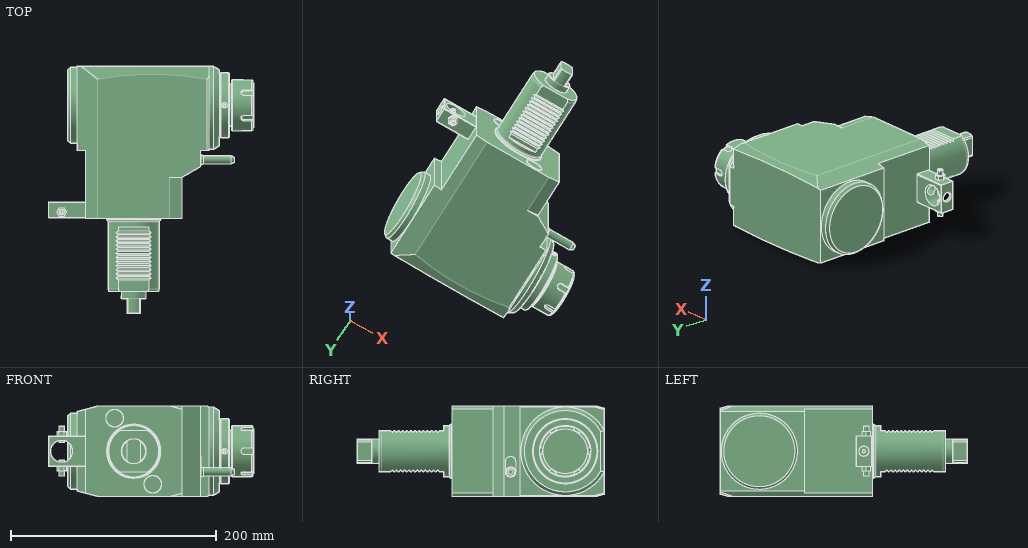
import math

import cadquery as cq


half_height = 44.0
back_y = 148.0
head_left_x = -55.0
head_right_x = 73.0
head_front_y = 66.0
foot_half_width = 47.0
foot_shoulder_y = 40.0
step_right_x = 65.0
step_slope = math.radians(30)
side_bevel_start = 35.0
side_bevel_angle = math.radians(15)
right_bevel_length = 1.6
right_bevel_depth = 0.9
back_bevel_y = 140.2
back_bevel_center_x = 18.0
back_bevel_angle = math.radians(15)
back_bevel_radius = 1100.0

spindle_y = 110.0
cap_radius = 37.0
cap_end_x = -64.3
cap_chamfer_length = 3.1
cap_chamfer_depth = 2.5
flange_radius = 43.0
flange_straight_end_x = 77.5
flange_end_x = 83.3
flange_chamfer_depth = 3.5
ring_radius = 31.7
ring_gap_radius = 30.5
ring_start_x = 84.1
ring_chamfer = 0.8
ring_end_x = 92.9
ring_screw_x = 88.3
ring_screw_radius = 2.6
ring_screw_depth = 1.0
ring_screw_socket_radius = 1.1
neck_radius = 20.5
nut_start_x = 95.2
nut_radius = 25.0
nut_chamfer = 0.6
nut_bevel_x = 114.4
nut_lip_x = 116.0
nut_lip_radius = 24.2
nut_end_x = 117.1
nut_end_radius = 21.6
nut_slot_count = 6
nut_slot_width = 6.2
nut_slot_start_x = 104.3
nut_slot_floor_radius = 22.0

shank_radius = 25.0
collar_radius = 26.3
collar_straight_length = 1.0
collar_length = 2.3
collar_tip_radius = 25.3
collar_taper_end = 3.5
shank_length = 71.0
shank_chamfer_length = 2.8
shank_chamfer_depth = 0.75
flat_half_height = 20.0
flat_start = 8.0
groove_count = 12
groove_pitch = 4.0
first_groove = 13.8
groove_depth = 1.65
drive_radius = 12.1
drive_disc_length = 7.1
drive_length = 21.0
drive_disc_chamfer = 0.5
tang_half_width = 6.6
tang_chamfer_width = 1.0
tang_chamfer_height = 1.6

plug_radius = 8.6
plug_x = 18.5
plug_z = 32.1
plug_gap = 0.2
plug_gap_depth = 0.3

bracket_left_x = -83.0
bracket_front_y = 0.7
bracket_back_y = 16.2
bracket_half_height = 15.0
bracket_chamfer = 0.5
bracket_bore_x = -70.0
bracket_bore_radius = 10.6
feed_y = 8.5
feed_radius = 4.9
feed_end_x = -49.0
pilot_radius = 1.5
clamp_y = 6.3
clamp_radius = 2.7
clamp_tip_z = 8.6
clamp_end_z = 24.3
clamp_socket_flats = 2.5
clamp_socket_depth = 2.0
clamp_nut_flats = 8.2
clamp_nut_top_z = 19.1

pin_y = 57.0
pin_z = -20.1
pin_radius = 4.1
pin_root_radius = 4.9
pin_root_length = 2.2
pin_tip_radius = 2.4
pin_tip_length = 3.4
pin_end_x = 98.0
pad_thickness = 0.6
pad_width = 10.0
pad_length = 20.0


def bevel_drop(x):
    """Drop of the side bevel below the top face at distance x from the shank axis."""
    return (x - side_bevel_start) * math.tan(side_bevel_angle)


def both_halves(shape):
    """The shape together with its mirror image below the Z = 0 plane."""
    return shape.union(shape.mirror("XY"))


def box_between(x_range, y_range, z_range):
    sizes = [high - low for low, high in (x_range, y_range, z_range)]
    corner = (x_range[0], y_range[0], z_range[0])
    return cq.Workplane("XY").box(*sizes, centered=False).translate(corner)


def turned_on_spindle(points):
    """Revolve an (x, radius) profile about the spindle axis."""
    profile = cq.Workplane("XY", origin=(0, spindle_y, 0)).polyline(points).close()
    return profile.revolve(360, (0, 0, 0), (1, 0, 0))


def turned_on_shank(points):
    """Revolve a (radius, distance along -Y) profile about the shank axis."""
    profile = cq.Workplane("XY").polyline([(radius, -along) for radius, along in points]).close()
    return profile.revolve(360, (0, 0, 0), (0, 1, 0))


def make_housing():
    step_front_y = foot_shoulder_y + (step_right_x - foot_half_width) * math.tan(step_slope)
    outline = [
        (-foot_half_width, 0),
        (foot_half_width, 0),
        (foot_half_width, foot_shoulder_y),
        (step_right_x, step_front_y),
        (step_right_x, head_front_y),
        (head_right_x, head_front_y),
        (head_right_x, back_y),
        (head_left_x, back_y),
        (head_left_x, head_front_y),
        (-foot_half_width, head_front_y),
    ]
    block = cq.Workplane("XY").polyline(outline).close().extrude(half_height, both=True)

    left_z = half_height - bevel_drop(-head_left_x)
    right_z = half_height - right_bevel_depth
    section = [
        (head_left_x, left_z),
        (-side_bevel_start, half_height),
        (head_right_x - right_bevel_length, half_height),
        (head_right_x, right_z),
        (head_right_x, -right_z),
        (head_right_x - right_bevel_length, -half_height),
        (-side_bevel_start, -half_height),
        (head_left_x, -left_z),
    ]
    envelope = cq.Workplane("XZ").polyline(section).close().extrude(-back_y)
    block = block.intersect(envelope)
    return block.cut(both_halves(make_foot_bevel())).cut(both_halves(make_back_bevel()))


def make_foot_bevel():
    """Wedge removed from the upper right edge of the foot."""
    corners = [
        (side_bevel_start, half_height),
        (foot_half_width, half_height),
        (foot_half_width, half_height - bevel_drop(foot_half_width)),
    ]
    return cq.Workplane("XZ").polyline(corners).close().extrude(-foot_shoulder_y)


def make_back_bevel():
    """Material above a slightly crowned surface that slopes down towards the back."""
    slope_direction = (0, math.cos(back_bevel_angle), -math.sin(back_bevel_angle))
    crown = (back_bevel_center_x, back_bevel_y, half_height)
    plane = cq.Plane(origin=crown, xDir=(-1, 0, 0), normal=slope_direction)
    half_width = head_right_x - head_left_x
    sag = back_bevel_radius - math.sqrt(back_bevel_radius**2 - half_width**2)
    profile = (
        cq.Workplane(plane)
        .moveTo(-half_width, -sag)
        .threePointArc((0, 0), (half_width, -sag))
        .lineTo(half_width, half_height)
        .lineTo(-half_width, half_height)
        .close()
    )
    return profile.extrude(half_height, both=True)


def make_cap():
    return turned_on_spindle([
        (head_left_x, 0),
        (head_left_x, cap_radius),
        (cap_end_x + cap_chamfer_length, cap_radius),
        (cap_end_x, cap_radius - cap_chamfer_depth),
        (cap_end_x, 0),
    ])


def make_flange():
    """Round flange with a flat at the back; its chamfer follows both the round and the flat."""
    flange = turned_on_spindle([
        (head_right_x, 0),
        (head_right_x, flange_radius),
        (flange_straight_end_x, flange_radius),
        (flange_end_x, flange_radius - flange_chamfer_depth),
        (flange_end_x, 0),
    ])
    front_y = spindle_y - flange_radius
    flat_outline = [
        (head_right_x, front_y),
        (head_right_x, back_y),
        (flange_straight_end_x, back_y),
        (flange_end_x, back_y - flange_chamfer_depth),
        (flange_end_x, front_y),
    ]
    flat = cq.Workplane("XY").polyline(flat_outline).close().extrude(flange_radius, both=True)
    return flange.intersect(flat)


def make_spindle_nose():
    nose = turned_on_spindle([
        (flange_end_x, 0),
        (flange_end_x, ring_gap_radius),
        (ring_start_x, ring_gap_radius),
        (ring_start_x, ring_radius - ring_chamfer),
        (ring_start_x + ring_chamfer, ring_radius),
        (ring_end_x - ring_chamfer, ring_radius),
        (ring_end_x, ring_radius - ring_chamfer),
        (ring_end_x, neck_radius),
        (nut_start_x, neck_radius),
        (nut_start_x, nut_radius - nut_chamfer),
        (nut_start_x + nut_chamfer, nut_radius),
        (nut_bevel_x, nut_radius),
        (nut_lip_x, nut_lip_radius),
        (nut_lip_x, nut_end_radius),
        (nut_end_x, nut_end_radius),
        (nut_end_x, 0),
    ])
    axis_start = (0, spindle_y, 0)
    axis_end = (1, spindle_y, 0)

    slot_length = nut_end_x - nut_slot_start_x + nut_slot_width
    slot = (
        cq.Workplane("XZ", origin=(0, spindle_y - nut_slot_floor_radius, 0))
        .center(nut_slot_start_x + slot_length / 2, 0)
        .slot2D(slot_length, nut_slot_width)
        .extrude(nut_radius)
    )
    for index in range(nut_slot_count):
        nose = nose.cut(slot.rotate(axis_start, axis_end, index * 360 / nut_slot_count))

    screw_hole = (
        cq.Workplane("XY", origin=(ring_screw_x, spindle_y, ring_radius - ring_screw_depth))
        .circle(ring_screw_radius)
        .circle(ring_screw_socket_radius)
        .extrude(ring_screw_depth * 2)
    )
    for angle in (0, 90):
        nose = nose.cut(screw_hole.rotate(axis_start, axis_end, angle))
    return nose


def make_shank():
    shank = turned_on_shank([
        (0, 0),
        (collar_radius, 0),
        (collar_radius, collar_straight_length),
        (collar_tip_radius, collar_length),
        (shank_radius, collar_taper_end),
        (shank_radius, shank_length - shank_chamfer_length),
        (shank_radius - shank_chamfer_depth, shank_length),
        (0, shank_length),
    ])
    cutter = box_between(
        (-shank_radius, shank_radius),
        (-shank_length, -flat_start),
        (flat_half_height, shank_radius),
    )
    groove_floor = flat_half_height - groove_depth
    for index in range(groove_count):
        groove_y = -first_groove - index * groove_pitch
        groove = (
            cq.Workplane("YZ")
            .polyline([
                (groove_y - groove_depth, flat_half_height),
                (groove_y, groove_floor),
                (groove_y + groove_depth, flat_half_height),
            ])
            .close()
            .extrude(shank_radius, both=True)
        )
        cutter = cutter.union(groove)
    return shank.cut(both_halves(cutter))


def make_drive_tang():
    disc_end = shank_length + drive_disc_length
    tang_start = disc_end - drive_disc_chamfer
    tang_end = shank_length + drive_length
    disc = turned_on_shank([
        (0, shank_length),
        (drive_radius, shank_length),
        (drive_radius, disc_end - drive_disc_chamfer),
        (drive_radius - drive_disc_chamfer, disc_end),
        (0, disc_end),
    ])
    chamfer_half_width = tang_half_width - tang_chamfer_width
    rim_z = math.sqrt(drive_radius**2 - chamfer_half_width**2)
    flat_z = rim_z - tang_chamfer_height
    tang = (
        cq.Workplane("XZ", origin=(0, -tang_start, 0))
        .moveTo(tang_half_width, -flat_z)
        .lineTo(tang_half_width, flat_z)
        .lineTo(chamfer_half_width, rim_z)
        .threePointArc((0, drive_radius), (-chamfer_half_width, rim_z))
        .lineTo(-tang_half_width, flat_z)
        .lineTo(-tang_half_width, -flat_z)
        .lineTo(-chamfer_half_width, -rim_z)
        .threePointArc((0, -drive_radius), (chamfer_half_width, -rim_z))
        .close()
        .extrude(tang_end - tang_start)
    )
    return disc.union(tang)


def make_plug_outlines():
    """Fine ring grooves around the two flush plugs in the seating face."""
    return (
        cq.Workplane("XZ")
        .pushPoints([(-plug_x, plug_z), (plug_x, -plug_z)])
        .circle(plug_radius)
        .circle(plug_radius - plug_gap)
        .extrude(-plug_gap_depth)
    )


def make_bracket():
    bracket = box_between(
        (bracket_left_x, -foot_half_width),
        (bracket_front_y, bracket_back_y),
        (-bracket_half_height, bracket_half_height),
    )
    bracket = bracket.edges("(<X and |Z) or |X").chamfer(bracket_chamfer)
    bore = (
        cq.Workplane("XZ", origin=(bracket_bore_x, bracket_front_y, 0))
        .circle(bracket_bore_radius)
        .extrude(bracket_front_y - bracket_back_y)
    )
    feed_start = cq.Workplane("YZ", origin=(bracket_left_x, feed_y, 0))
    feed = feed_start.circle(feed_radius).extrude(feed_end_x - bracket_left_x)
    pilot = feed_start.circle(pilot_radius).extrude(-foot_half_width - bracket_left_x)
    bracket = bracket.cut(bore).cut(feed).cut(pilot)
    return bracket.union(both_halves(make_clamp_screw()))


def make_clamp_screw():
    """Upper clamping screw with its lock nut and a hexagon socket in each end."""
    hexagon_ratio = 1 / math.cos(math.pi / 6)
    screw = (
        cq.Workplane("XY", origin=(bracket_bore_x, clamp_y, clamp_tip_z))
        .circle(clamp_radius)
        .extrude(clamp_end_z - clamp_tip_z)
    )
    nut = (
        cq.Workplane("XY", origin=(bracket_bore_x, clamp_y, bracket_half_height))
        .polygon(6, clamp_nut_flats * hexagon_ratio)
        .extrude(clamp_nut_top_z - bracket_half_height)
    )
    socket = cq.Workplane("XY", origin=(bracket_bore_x, clamp_y, 0))
    socket = socket.polygon(6, clamp_socket_flats * hexagon_ratio).extrude(clamp_socket_depth)
    outer_socket = socket.translate((0, 0, clamp_end_z - clamp_socket_depth))
    inner_socket = socket.translate((0, 0, clamp_tip_z))
    return screw.union(nut).cut(outer_socket).cut(inner_socket)


def make_locating_pin():
    root_x = step_right_x + pad_thickness
    profile = [
        (step_right_x, 0),
        (step_right_x, pin_root_radius),
        (root_x, pin_root_radius),
        (root_x + pin_root_length, pin_radius),
        (pin_end_x - pin_tip_length, pin_radius),
        (pin_end_x, pin_tip_radius),
        (pin_end_x, 0),
    ]
    pin = (
        cq.Workplane("XY", origin=(0, pin_y, pin_z))
        .polyline(profile)
        .close()
        .revolve(360, (0, 0, 0), (1, 0, 0))
    )
    pad_center_z = pin_z + (pad_length - pad_width) / 2
    pad = (
        cq.Workplane("YZ", origin=(step_right_x, pin_y, pad_center_z))
        .slot2D(pad_length, pad_width, 90)
        .extrude(pad_thickness)
    )
    return pin.union(pad)


result = make_housing().cut(make_plug_outlines())
for section_of_part in (
    make_cap(),
    make_flange(),
    make_spindle_nose(),
    make_shank(),
    make_drive_tang(),
    make_bracket(),
    make_locating_pin(),
):
    result = result.union(section_of_part)